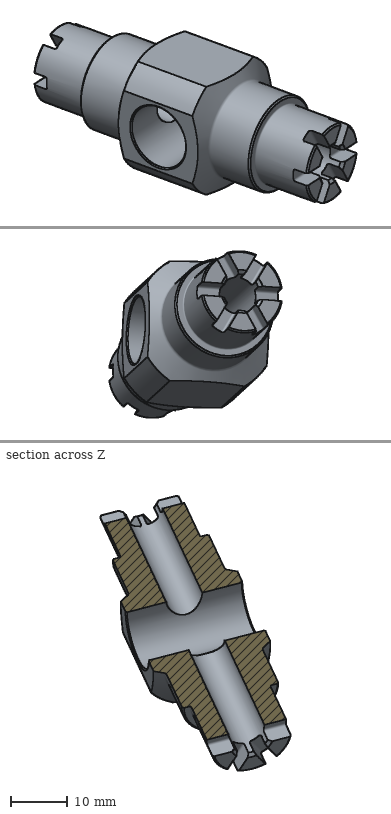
import cadquery as cq
import math

length = 60.9
block_width = 22.0

block_corner_radius = 13.0
block_corner_half_length = 7.6
cone_foot_x = 10.05
cone_foot_fillet = 0.6
collar_radius = 9.1
collar_end_x = 18.9
collar_chamfer = 0.3
spigot_radius = 7.5
spigot_root_fillet = 0.25
spigot_end_chamfer = 0.3

bore_diameter = 6.7
bore_mouth_chamfer = 0.6
cross_hole_diameter = 12.0
cross_hole_chamfer = 0.25

slot_count = 3
slot_width = 2.45
slot_depth = 3.05
slot_floor_fillet = 0.4

half_length = length / 2


def turned_half():
    """The +X half of the turned outline, with rounded cone foot and spigot root."""
    cone_angle = math.atan2(block_corner_radius - collar_radius, cone_foot_x - block_corner_half_length)
    foot_tangent = cone_foot_fillet * math.tan(cone_angle / 2)
    cone_tangent_point = (
        cone_foot_x - foot_tangent * math.cos(cone_angle),
        collar_radius + foot_tangent * math.sin(cone_angle),
    )
    collar_start = (cone_foot_x + foot_tangent, collar_radius)
    root_end = (collar_end_x + spigot_root_fillet, spigot_radius)
    return (
        cq.Workplane("XY")
        .moveTo(0, 0)
        .lineTo(0, block_corner_radius)
        .lineTo(block_corner_half_length, block_corner_radius)
        .lineTo(*cone_tangent_point)
        .tangentArcPoint(collar_start, relative=False)
        .lineTo(collar_end_x - collar_chamfer, collar_radius)
        .lineTo(collar_end_x, collar_radius - collar_chamfer)
        .lineTo(collar_end_x, spigot_radius + spigot_root_fillet)
        .tangentArcPoint(root_end, relative=False)
        .lineTo(half_length - spigot_end_chamfer, spigot_radius)
        .lineTo(half_length, spigot_radius - spigot_end_chamfer)
        .lineTo(half_length, 0)
        .close()
        .revolve(360, (0, 0, 0), (1, 0, 0))
    )


def flats():
    """Square bar whose sides mill the four flats on the turned block."""
    return cq.Workplane("XY").box(length, block_width, block_width)


def chamfered_hole(plane, radius, depth, chamfer):
    """Cutter for a through hole along the plane normal, both mouths widened by a 45 degree chamfer."""
    hole = cq.Workplane(plane).circle(radius).extrude(depth / 2, both=True)
    for side in (1, -1):
        mouth = (
            cq.Workplane(plane)
            .workplane(offset=side * (depth / 2 - chamfer))
            .circle(radius)
            .workplane(offset=side * chamfer)
            .circle(radius + chamfer)
            .loft()
        )
        hole = hole.union(mouth)
    return hole


def end_slots():
    """Cutter for the radial slots in the +X end face, rounded along their floor corners."""
    slot = (
        cq.Workplane("XY")
        .box(slot_depth, 2 * collar_radius, slot_width)
        .edges("|Y and <X")
        .fillet(slot_floor_fillet)
        .translate((half_length - slot_depth / 2, 0, 0))
    )
    slots = slot
    for index in range(1, slot_count):
        slots = slots.union(slot.rotate((0, 0, 0), (1, 0, 0), index * 180 / slot_count))
    return slots


half = turned_half().cut(end_slots())
result = half.union(half.mirror("YZ")).intersect(flats())
result = result.cut(chamfered_hole("YZ", bore_diameter / 2, length, bore_mouth_chamfer))
result = result.cut(chamfered_hole("XZ", cross_hole_diameter / 2, block_width, cross_hole_chamfer))